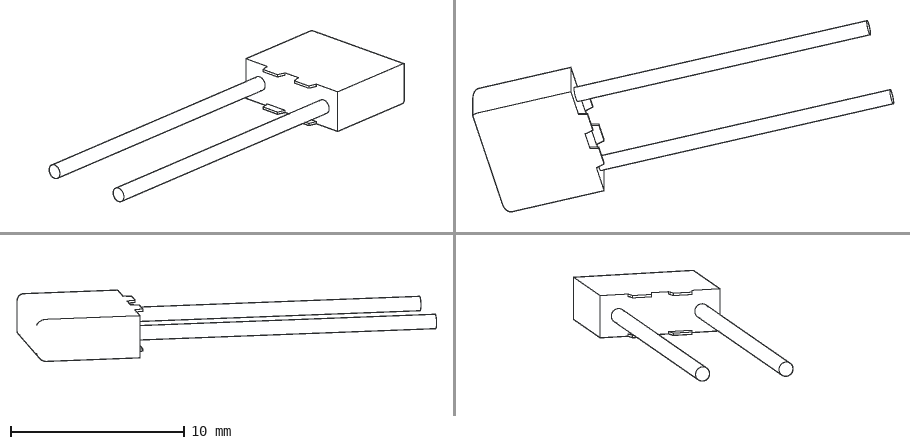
import cadquery as cq

TOTAL_LENGTH = 23.5
CASE_WIDTH = 7.2
CASE_LENGTH = 6.0
CASE_HEIGHT = 2.5
BACK_FILLET = 0.5

TAB_LENGTH = 0.5
TAB_THICKNESS = 0.15
TAB_ROOT_WIDTH = 1.4
TAB_TIP_WIDTH = 1.13
TAB_PITCH = 2.45

LEAD_DIAMETER = 0.85
LEAD_PITCH = 5.0
LEAD_LENGTH = TOTAL_LENGTH - CASE_LENGTH

SIDES = (-1, 1)


def make_tab(x_center, z_bottom):
    """Tapered standoff tab that points forward from the front face."""
    root = TAB_ROOT_WIDTH / 2
    tip = TAB_TIP_WIDTH / 2
    outline = [(-root, 0), (-tip, -TAB_LENGTH), (tip, -TAB_LENGTH), (root, 0)]
    tab = cq.Workplane("XY").polyline(outline).close().extrude(TAB_THICKNESS)
    return tab.translate((x_center, 0, z_bottom))


def make_case():
    """Box case with a rounded back and four standoff tabs at the front."""
    case = cq.Workplane("XY").box(CASE_WIDTH, CASE_LENGTH, CASE_HEIGHT)
    case = case.translate((0, CASE_LENGTH / 2, 0))
    case = case.faces(">Y").edges().fillet(BACK_FILLET)

    bottom_tab_z = -CASE_HEIGHT / 2
    top_tab_z = CASE_HEIGHT / 2 - TAB_THICKNESS
    for side in SIDES:
        for tab_z in (bottom_tab_z, top_tab_z):
            case = case.union(make_tab(side * TAB_PITCH / 2, tab_z))
    return case


def make_lead(x_center):
    """Straight round lead that butts against the front face of the case."""
    lead = cq.Workplane("XZ").circle(LEAD_DIAMETER / 2).extrude(LEAD_LENGTH)
    return lead.translate((x_center, 0, 0))


case = make_case()
leads = [make_lead(side * LEAD_PITCH / 2) for side in SIDES]

result = cq.Compound.makeCompound([case.val(), *[lead.val() for lead in leads]])